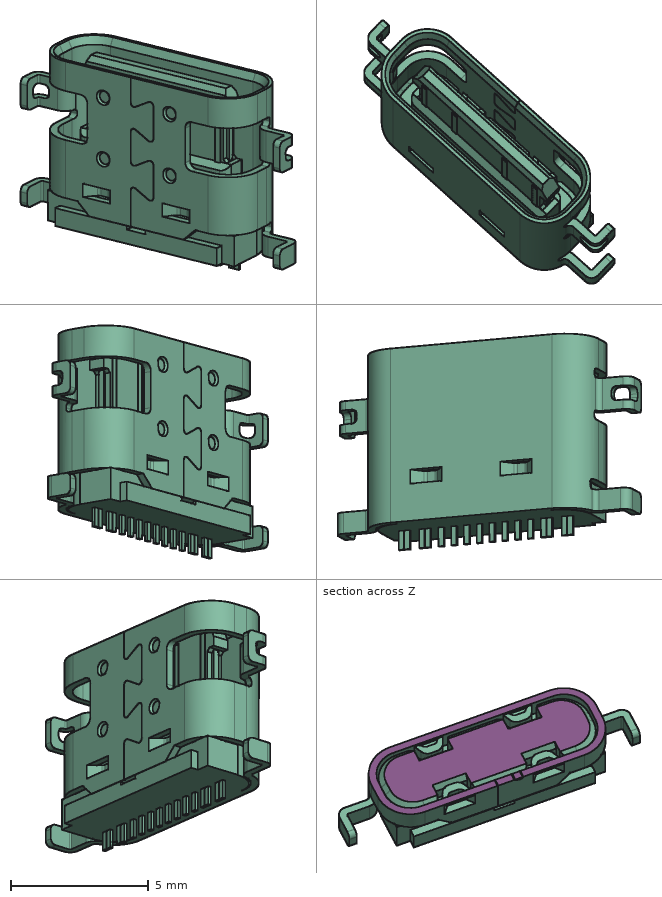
import cadquery as cq
import math


SIDES = (-1, 1)
EXTRA = 1.0

SHELL_X = 8.94
SHELL_Y = 3.16
SHELL_TOP = 6.5
SHEET = 0.3
SHELL_R = 1.3
RIM_FLAT = 0.14
RIM_DEPTH = 0.3
INNER_X = SHELL_X - 2 * SHEET
INNER_Y = SHELL_Y - 2 * SHEET
WALL_X = SHELL_X / 2
WALL_Y = SHELL_Y / 2

WINDOW_BOTTOM = 3.44
WINDOW_TOP = 5.35
WINDOW_X = 2.18
WINDOW_R = 0.28
WINDOW_BACK = 0.57
RELIEF_R = 0.16

SKIRT_SIDE = 1.18
SKIRT_MID = 0.7
SKIRT_OUTER_X = 2.62
SKIRT_INNER_X = 2.1
SKIRT_BACK = 0.8

TAB_REACH = 5.77
TAB_TIP_Y = -0.7
TAB_ROOT_R = 0.19
TAB_FOLD_R = 0.33
TAB_FOLD_INNER_R = 0.06
TAB_TIP_R = 0.21
UPPER_TAB = (0.31, 3.78, 5.0)
LOWER_TAB = (0.52, 0.0, 0.8)
TAB_SLOT_X = 5.0
TAB_SLOT_Y = -0.33
TAB_SLOT_BOTTOM = 4.13
TAB_SLOT_TOP = 4.66
TAB_SLOT_R = 0.2

SEAM_X = -0.256
SEAM_TIP_X = 0.76
SEAM_GAP = 0.01
SEAM_R = 0.15
TOOTH_CENTRES = (4.96, 2.67)
TOOTH_NECK = 0.64
TOOTH_TIP = 1.74

DIMPLE_X = 1.475
DIMPLE_Z = (3.05, 5.45)
DIMPLE_R = 0.285
DIMPLE_FLOOR_R = 0.22
DIMPLE_DEPTH = 0.1

BRIDGE_X = 1.765
BRIDGE_BOTTOM = 1.39
BRIDGE_TOP = 1.91
HOLLOW_MOUTH = 0.615
HOLLOW_FLOOR = 0.22
HOLLOW_DEPTH = 0.48
HOLLOW_R = 0.15
BOW_MOUTH = 0.7
BOW_FLOOR = 0.34
BOW_DEPTH = 0.8
BOW_R = 0.35

HOUSING_X = 8.26
HOUSING_Y = INNER_Y
HOUSING_R = 1.1
HOUSING_TOP = 2.0
HOUSING_CHAMFER = 0.22
NOTCH_WIDTH = 1.31
NOTCH_FLOOR = 1.3
NOTCH_FLARE = 0.14
NOTCH_Y = 0.75
NOTCH_SLOPE_Z = 0.25
BLOCK_X = 8.29
BLOCK_FRONT = -HOUSING_Y / 2
BLOCK_BACK = 0.16
BAR_X = 7.2
BAR_FRONT = -1.6
BAR_NOTCH_X = 0.82
BAR_NOTCH_Z = 0.15

TONGUE_X = 6.7
TONGUE_Y = 0.66
TONGUE_TOP = 6.35
TIP_X = 6.0
TIP_Y = 0.34
TIP_Z_SIDE = 0.22
TIP_Z_END = 0.8
PEDESTAL_Y = 1.18
PEDESTAL_TOP = 3.5
PEDESTAL_R = 0.35
PEDESTAL_SLOPE_Z = 0.22
LATCH_BOTTOM = PEDESTAL_TOP
LATCH_TOP = 5.18
LATCH_X = 2.99
LATCH_CHAMFER = 0.13
PLATE_X = 3.1
PLATE_Y = 0.22

CONTACT_X = (-2.75, -1.25, 1.25, 2.75)
CONTACT_WIDTH = 0.24
CONTACT_PROUD = 0.03
CONTACT_TOP = 5.84
PIN_WIDTH = 0.2
PIN_THICKNESS = 0.12
PIN_Y = 0.1
PIN_LENGTH = 0.7
PIN_X = (0.25, 0.75, 1.25, 1.75, 2.275, 2.505, 3.085, 3.315)


def box(x0, x1, y0, y1, z0, z1):
    return cq.Workplane("XY").box(x1 - x0, y1 - y0, z1 - z0, centered=False).translate((x0, y0, z0))


def rounded_block(size_x, size_y, radius, z0, z1):
    block = box(-size_x / 2, size_x / 2, -size_y / 2, size_y / 2, z0, z1)
    return block.edges("|Z").fillet(radius)


def front_prism(outline, y0, y1):
    """Extrude an X-Z outline from y0 to y1."""
    return cq.Workplane("XZ", origin=(0, y0, 0)).polyline(outline).close().extrude(y0 - y1)


def make_shell_tube():
    tube = rounded_block(SHELL_X, SHELL_Y, SHELL_R, 0, SHELL_TOP)
    bore = rounded_block(INNER_X, INNER_Y, SHELL_R - SHEET, -EXTRA, SHELL_TOP)
    bevel = SHEET - RIM_FLAT
    mouth_taper = math.degrees(math.atan2(bevel, RIM_DEPTH))
    mouth = (
        cq.Workplane("XY", origin=(0, 0, SHELL_TOP - RIM_DEPTH))
        .placeSketch(cq.Sketch().rect(INNER_X, INNER_Y).vertices().fillet(SHELL_R - SHEET))
        .extrude(RIM_DEPTH, taper=-mouth_taper)
    )
    return tube.cut(bore).cut(mouth)


def root_wall_x(y):
    """X of the outer shell face where a tab on the +X side leaves the rounded wall."""
    centre_y = WALL_Y - SHELL_R
    return WALL_X - SHELL_R + math.sqrt(SHELL_R ** 2 - (y - centre_y) ** 2)


def make_tab(rear_y, z0, z1):
    """Sheet strip leaving the +X side wall, running outward and folded toward -Y."""
    bend_y = rear_y + TAB_ROOT_R
    wall_x = root_wall_x(bend_y)
    bend_x = wall_x + TAB_ROOT_R
    front_y = rear_y - SHEET
    leg_x = TAB_REACH - SHEET
    return (
        cq.Workplane("XY", origin=(0, 0, z0))
        .moveTo(wall_x, bend_y)
        .radiusArc((bend_x, rear_y), -TAB_ROOT_R)
        .lineTo(TAB_REACH - TAB_FOLD_R, rear_y)
        .radiusArc((TAB_REACH, rear_y - TAB_FOLD_R), TAB_FOLD_R)
        .lineTo(TAB_REACH, TAB_TIP_Y)
        .lineTo(leg_x, TAB_TIP_Y)
        .lineTo(leg_x, front_y - TAB_FOLD_INNER_R)
        .radiusArc((leg_x - TAB_FOLD_INNER_R, front_y), -TAB_FOLD_INNER_R)
        .lineTo(bend_x, front_y)
        .radiusArc((wall_x - SHEET, bend_y), TAB_ROOT_R + SHEET)
        .close()
        .extrude(z1 - z0)
        .faces("<Y").edges("|X").fillet(TAB_TIP_R)
    )


def cut_tab_slot(tab):
    """Slot through the fold of an upper tab, reaching into both of its legs."""
    leg_x = TAB_REACH - SHEET
    flat_slot = box(TAB_SLOT_X, leg_x, -EXTRA, EXTRA, TAB_SLOT_BOTTOM, TAB_SLOT_TOP)
    flat_slot = flat_slot.edges("|Y and <X").fillet(TAB_SLOT_R)
    leg_slot = box(leg_x, TAB_REACH + EXTRA, TAB_SLOT_Y, EXTRA, TAB_SLOT_BOTTOM, TAB_SLOT_TOP)
    leg_slot = leg_slot.edges("|X and <Y").fillet(TAB_SLOT_R)
    return tab.cut(flat_slot).cut(leg_slot)


def make_relief(z0, z1):
    """Gap with a rounded rear end in the +X side wall, above or below a tab."""
    relief = box(WALL_X - SHELL_R, WALL_X + EXTRA, 0, WINDOW_BACK, z0, z1)
    return relief.edges("|X and >Y").fillet(RELIEF_R)


def make_window():
    """Corner window on the +X side, reaching round from the front wall to the upper tab."""
    tab_rear, tab_bottom, tab_top = UPPER_TAB
    front = box(WINDOW_X, WALL_X + EXTRA, -WALL_Y - EXTRA, 0, WINDOW_BOTTOM, WINDOW_TOP)
    front = front.edges("|Y and <X").fillet(WINDOW_R)
    behind_tab = box(WALL_X - SHELL_R, WALL_X + EXTRA, 0, tab_rear + TAB_ROOT_R, tab_bottom, tab_top)
    window = front.union(behind_tab)
    return window.union(make_relief(WINDOW_BOTTOM, tab_bottom)).union(make_relief(tab_top, WINDOW_TOP))


def make_skirt_cut():
    """Space below the front lower edge of the shell."""
    outline = [
        (-WALL_X - EXTRA, -EXTRA),
        (-WALL_X - EXTRA, SKIRT_SIDE),
        (-SKIRT_OUTER_X, SKIRT_SIDE),
        (-SKIRT_INNER_X, SKIRT_MID),
        (SKIRT_INNER_X, SKIRT_MID),
        (SKIRT_OUTER_X, SKIRT_SIDE),
        (WALL_X + EXTRA, SKIRT_SIDE),
        (WALL_X + EXTRA, -EXTRA),
    ]
    front = front_prism(outline, -WALL_Y - EXTRA, 0)
    tab_rear, _, tab_top = LOWER_TAB
    root_y = tab_rear + TAB_ROOT_R
    relief_x = WALL_X + EXTRA
    relief = box(-relief_x, relief_x, 0, SKIRT_BACK, tab_top, SKIRT_SIDE)
    relief = relief.edges("|X and >Y").fillet(RELIEF_R)
    sides = box(-relief_x, relief_x, -EXTRA, root_y, -EXTRA, tab_top)
    return front.union(relief).union(sides)


def make_seam():
    """Thin dovetail slit through the front wall."""
    outline = [(SEAM_X, SHELL_TOP + EXTRA)]
    for centre in TOOTH_CENTRES:
        outline.append((SEAM_X, centre + TOOTH_NECK / 2))
        outline.append((SEAM_TIP_X, centre + TOOTH_TIP / 2))
        outline.append((SEAM_TIP_X, centre - TOOTH_TIP / 2))
        outline.append((SEAM_X, centre - TOOTH_NECK / 2))
    outline += [(SEAM_X, -EXTRA), (-WALL_X, -EXTRA), (-WALL_X, SHELL_TOP + EXTRA)]
    left = front_prism(outline, -WALL_Y - EXTRA, 0)
    teeth_zone = cq.selectors.BoxSelector(
        (SEAM_X - SEAM_GAP, -WALL_Y - EXTRA, 0), (SEAM_TIP_X + SEAM_GAP, EXTRA, SHELL_TOP)
    )
    left = left.edges("|Y").edges(teeth_zone).fillet(SEAM_R)
    grown = left.faces("<Y").wires().toPending().offset2D(SEAM_GAP).extrude(-WALL_Y - EXTRA)
    return grown.cut(left)


def make_dimples():
    points = [(side * DIMPLE_X, z) for side in SIDES for z in DIMPLE_Z]
    taper = math.degrees(math.atan2(DIMPLE_R - DIMPLE_FLOOR_R, DIMPLE_DEPTH))
    return (
        cq.Workplane("XZ", origin=(0, -WALL_Y, 0))
        .pushPoints(points).circle(DIMPLE_R).extrude(-DIMPLE_DEPTH, taper=taper)
    )


def bridge_wedge(mouth, floor, depth):
    """Trapezoidal block from the outer face of the front wall inward."""
    return (
        cq.Workplane("XY", origin=(0, -WALL_Y, BRIDGE_BOTTOM))
        .polyline([(-mouth, 0), (-floor, depth), (floor, depth), (mouth, 0)])
        .close()
        .extrude(BRIDGE_TOP - BRIDGE_BOTTOM)
    )


def add_bridges(shell):
    """Replace short strips of the front and rear walls by strips bowed inward."""
    hollow = bridge_wedge(HOLLOW_MOUTH, HOLLOW_FLOOR, HOLLOW_DEPTH)
    hollow = hollow.faces(">Y").edges("|Z").fillet(HOLLOW_R)
    bowed = bridge_wedge(BOW_MOUTH, BOW_FLOOR, BOW_DEPTH)
    bowed = bowed.faces(">Y").edges("|Z").fillet(BOW_R)
    for side in SIDES:
        for turn in (0, 180):
            place = (side * BRIDGE_X, 0, 0)
            shell = shell.union(bowed.rotate((0, 0, 0), (0, 0, 1), turn).translate(place))
            shell = shell.cut(hollow.rotate((0, 0, 0), (0, 0, 1), turn).translate(place))
    return shell


def make_shell():
    shell = make_shell_tube()
    window = make_window()
    shell = shell.cut(window).cut(window.mirror("YZ"))
    shell = shell.cut(make_skirt_cut()).cut(make_seam()).cut(make_dimples())
    shell = add_bridges(shell)
    for tab in (cut_tab_slot(make_tab(*UPPER_TAB)), make_tab(*LOWER_TAB)):
        shell = shell.union(tab).union(tab.mirror("YZ"))
    return shell


def make_notch():
    """Spring clearance in the rear wall of the housing ring: flared mouth and sloped inner side."""
    half = NOTCH_WIDTH / 2
    outer_y = HOUSING_Y / 2
    flare_y = outer_y - HOUSING_CHAMFER
    outline = [
        (-half, NOTCH_Y),
        (-half, flare_y),
        (-half - NOTCH_FLARE, outer_y),
        (half + NOTCH_FLARE, outer_y),
        (half, flare_y),
        (half, NOTCH_Y),
    ]
    depth = HOUSING_TOP - NOTCH_FLOOR
    slope_z = HOUSING_TOP - NOTCH_SLOPE_Z
    slot = cq.Workplane("XY", origin=(0, 0, NOTCH_FLOOR)).polyline(outline).close().extrude(depth)
    slope = (
        cq.Workplane("YZ", origin=(-half, 0, 0))
        .polyline([(PEDESTAL_Y / 2, HOUSING_TOP), (NOTCH_Y, HOUSING_TOP), (NOTCH_Y, slope_z)])
        .close()
        .extrude(NOTCH_WIDTH)
    )
    return slot.union(slope)


def make_bar():
    """Front foot bar with an undercut wedge below the shell seam."""
    bar = box(-BAR_X / 2, BAR_X / 2, BAR_FRONT, 0, 0, SKIRT_MID)
    floor_z = SKIRT_MID - BAR_NOTCH_Z
    wedge = (
        cq.Workplane("YZ", origin=(-BAR_NOTCH_X / 2, 0, 0))
        .polyline([(BAR_FRONT, floor_z), (BLOCK_FRONT, floor_z), (BAR_FRONT, SKIRT_MID)])
        .close()
        .extrude(BAR_NOTCH_X)
    )
    return bar.cut(wedge)


def make_housing():
    ring = rounded_block(HOUSING_X, HOUSING_Y, HOUSING_R, 0, HOUSING_TOP)
    ring = ring.faces(">Z").edges().chamfer(HOUSING_CHAMFER)
    rear_notch = make_notch()
    for side in SIDES:
        for notch in (rear_notch, rear_notch.mirror("XZ")):
            ring = ring.cut(notch.translate((side * BRIDGE_X, 0, 0)))
    block = box(-BLOCK_X / 2, BLOCK_X / 2, BLOCK_FRONT, BLOCK_BACK, 0, SKIRT_SIDE)
    return ring.union(block).union(make_bar())


def tapered_prism(plane, length, half_base, half_top, slope_z, top):
    """Prism along the normal of the plane whose upper sides slope in over slope_z."""
    outline = [
        (-half_base, 0),
        (-half_base, top - slope_z),
        (-half_top, top),
        (half_top, top),
        (half_base, top - slope_z),
        (half_base, 0),
    ]
    return cq.Workplane(plane).polyline(outline).close().extrude(length / 2, both=True)


def make_pedestal():
    pedestal = rounded_block(TONGUE_X, PEDESTAL_Y, PEDESTAL_R, 0, PEDESTAL_TOP)
    slopes = tapered_prism("YZ", TONGUE_X, PEDESTAL_Y / 2, TONGUE_Y / 2, PEDESTAL_SLOPE_Z, PEDESTAL_TOP)
    return pedestal.intersect(slopes)


def make_tongue():
    half_x = TONGUE_X / 2
    tongue = tapered_prism("YZ", TONGUE_X, TONGUE_Y / 2, TIP_Y / 2, TIP_Z_SIDE, TONGUE_TOP)
    tongue = tongue.intersect(tapered_prism("XZ", TONGUE_Y, half_x, TIP_X / 2, TIP_Z_END, TONGUE_TOP))
    latch = box(LATCH_X, half_x, -EXTRA, EXTRA, LATCH_BOTTOM, LATCH_TOP)
    latch = latch.edges("|Y and <X").chamfer(LATCH_CHAMFER)
    tongue = tongue.cut(latch).cut(latch.mirror("YZ"))
    return tongue.union(box(-PLATE_X, PLATE_X, -PLATE_Y / 2, PLATE_Y / 2, 0, LATCH_TOP))


def make_contacts():
    thickness = TONGUE_Y + 2 * CONTACT_PROUD
    return (
        cq.Workplane("XY")
        .pushPoints([(x, 0) for x in CONTACT_X])
        .rect(CONTACT_WIDTH, thickness).extrude(CONTACT_TOP)
    )


def make_pins():
    points = [(side * x, PIN_Y) for side in SIDES for x in PIN_X]
    return (
        cq.Workplane("XY", origin=(0, 0, -PIN_LENGTH))
        .pushPoints(points).rect(PIN_WIDTH, PIN_THICKNESS).extrude(PIN_LENGTH + SKIRT_MID)
    )


result = make_housing().union(make_pedestal()).union(make_tongue()).union(make_contacts())
result = result.union(make_pins()).union(make_shell())